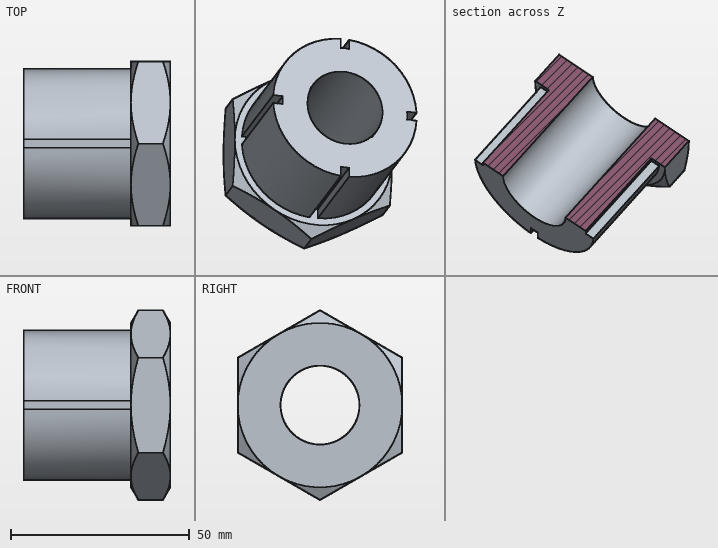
import cadquery as cq
import math

barrel_diameter = 42.0
barrel_length = 30.0
bore_diameter = 22.0
head_across_flats = 46.0
head_thickness = 11.0
head_sides = 6
chamfer_angle = 30.0
slot_width = 2.4
slot_depth = 2.8
slot_count = 4

total_length = barrel_length + head_thickness
flat_radius = head_across_flats / 2
corner_radius = flat_radius / math.cos(math.pi / head_sides)
chamfer_length = (corner_radius - flat_radius) * math.tan(math.radians(chamfer_angle))
slot_floor_radius = barrel_diameter / 2 - slot_depth


def hex_head():
    """Hexagon with corners at +Z and -Z, chamfered on both faces down to the flats."""
    prism = (
        cq.Workplane("YZ", origin=(barrel_length, 0, 0))
        .transformed(rotate=(0, 0, 90))
        .polygon(head_sides, 2 * corner_radius)
        .extrude(head_thickness)
    )
    chamfer_envelope = (
        cq.Workplane("XY")
        .moveTo(barrel_length, 0)
        .lineTo(barrel_length, flat_radius)
        .lineTo(barrel_length + chamfer_length, corner_radius)
        .lineTo(total_length - chamfer_length, corner_radius)
        .lineTo(total_length, flat_radius)
        .lineTo(total_length, 0)
        .close()
        .revolve(360, (0, 0, 0), (1, 0, 0))
    )
    return prism.intersect(chamfer_envelope)


def barrel():
    """Plain cylinder from the free end to the head."""
    return cq.Workplane("YZ").circle(barrel_diameter / 2).extrude(barrel_length)


def slot_cutter(angle):
    """Rectangular keyway along the whole barrel, turned about the part axis."""
    cutter_height = 2 * slot_depth
    return (
        cq.Workplane("YZ")
        .center(0, slot_floor_radius + cutter_height / 2)
        .rect(slot_width, cutter_height)
        .extrude(barrel_length)
        .rotate((0, 0, 0), (1, 0, 0), angle)
    )


def bore_cutter():
    """Through bore along the part axis."""
    return cq.Workplane("YZ").circle(bore_diameter / 2).extrude(total_length)


slotted_barrel = barrel()
for slot_index in range(slot_count):
    slotted_barrel = slotted_barrel.cut(slot_cutter(slot_index * 360 / slot_count))

result = slotted_barrel.union(hex_head()).cut(bore_cutter())